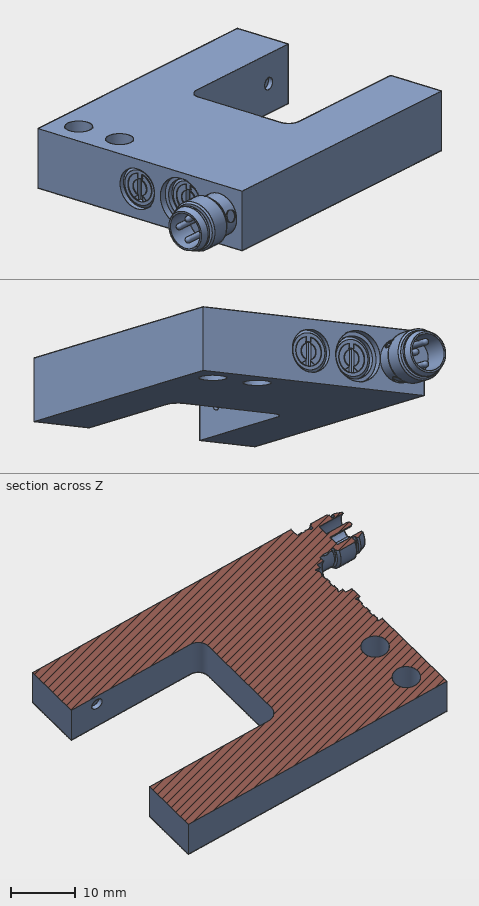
import cadquery as cq
import math

overall_length = 58.5
body_width = 40.0
body_height = 10.0
body_length = 50.0
slot_width = body_width / 2
slot_depth = body_length / 2
slot_corner_radius = 2.0
half_width = body_width / 2

mount_hole_diameter = 4.3
mount_hole_inset = 4.5
mount_hole_spacing = 8.0

window_diameter = 2.0
window_depth = 0.8
window_inset = 5.0

left_adjuster_x = -0.5
right_adjuster_x = 8.0
counterbore_diameter = 8.0
counterbore_depth = 1.2
well_diameter = 6.7
knob_face_diameter = 5.8
knob_face_depth = 0.6
knob_bevel_height = 0.3
well_depth = 2.0
dish_diameter = 4.6
dish_depth = 0.2
hub_diameter = 2.65
driver_slot_width = 0.8
driver_slot_depth = 0.8
driver_slot_top = 1.5
notch_depth = 0.25
notch_top = -1.1
notch_half_angle = 55.0

connector_x = 15.5
connector_length = overall_length - body_length
neck_diameter = 6.9
groove_diameter = 6.4
collar_diameter = 8.1
lip_diameter = 7.2
neck_end = 2.4
collar_start = 2.8
collar_end = 6.5
collar_lead_in = 0.4
collar_chamfer = 0.3
lip_start = 6.95
lip_end = 7.4
bore_diameter = 5.8
bore_depth = 4.7
pin_diameter = 1.0
pin_circle_radius = 1.75
pin_recess = 0.3
pin_tip_radius = 0.45
pin_angles = (90, 180, 270)
dimple_diameter = 2.0
dimple_floor_radius = 3.2
dimple_distance = 1.15
dimple_angles = (15, 135, 255)


def front_plane(x, depth):
    """Sketch plane facing -Y, at the given depth behind the front face."""
    return cq.Workplane("XZ", origin=(x, depth, 0))


def front_cylinder(x, diameter, depth, length):
    """Cylinder that starts at the given depth and runs inward along +Y."""
    return front_plane(x, depth).circle(diameter / 2).extrude(-length)


def make_body():
    body = cq.Workplane("XY").box(body_width, body_length, body_height, centered=(True, False, True))
    slot = (
        cq.Workplane("XY", origin=(0, body_length - slot_depth, 0))
        .box(slot_width, slot_depth, body_height, centered=(True, False, True))
        .edges("|Z and <Y")
        .fillet(slot_corner_radius)
    )
    first_hole_x = mount_hole_inset - half_width
    mount_holes = (
        cq.Workplane("XY", origin=(0, 0, -body_height / 2))
        .pushPoints([(first_hole_x + i * mount_hole_spacing, mount_hole_inset) for i in range(2)])
        .circle(mount_hole_diameter / 2)
        .extrude(body_height)
    )
    windows = (
        cq.Workplane("YZ", origin=(0, body_length - window_inset, 0))
        .circle(window_diameter / 2)
        .extrude(slot_width / 2 + window_depth, both=True)
    )
    return body.cut(slot).cut(mount_holes).cut(windows)


def make_knob(x, seat_depth):
    """Bevelled knob with a dished face, a raised hub and pointer, and a slot flared at its tail."""
    face_depth = seat_depth + knob_face_depth
    bevel_width = (well_diameter - knob_face_diameter) / 2
    knob = front_cylinder(x, well_diameter, face_depth, well_depth - knob_face_depth)
    knob = knob.faces("<Y").chamfer(knob_bevel_height, bevel_width)
    dish = front_cylinder(x, dish_diameter, face_depth, dish_depth)
    hub = front_cylinder(x, hub_diameter, face_depth, dish_depth)

    dish_radius = dish_diameter / 2
    pointer = (
        front_plane(x, face_depth)
        .center(0, dish_radius / 2)
        .rect(driver_slot_width, dish_radius)
        .extrude(-dish_depth)
    )
    dish = dish.cut(hub).cut(pointer)

    slot_length = driver_slot_top + dish_radius
    driver_slot = (
        front_plane(x, face_depth)
        .center(0, driver_slot_top - slot_length / 2)
        .rect(driver_slot_width, slot_length)
        .extrude(-driver_slot_depth)
    )
    notch_half_width = (dish_radius + notch_top) * math.tan(math.radians(notch_half_angle))
    notch = (
        front_plane(x, face_depth)
        .moveTo(0, notch_top)
        .lineTo(-notch_half_width, -dish_radius)
        .lineTo(notch_half_width, -dish_radius)
        .close()
        .extrude(-notch_depth)
    )
    disc = front_cylinder(x, dish_diameter, face_depth, driver_slot_depth)
    recess = driver_slot.union(notch).intersect(disc)
    return knob.cut(dish).cut(recess)


def add_adjuster(body, x, seat_depth):
    """Open a well down from the front face and seat a knob in it."""
    well = front_cylinder(x, well_diameter, 0, seat_depth + well_depth)
    if seat_depth > 0:
        well = well.union(front_cylinder(x, counterbore_diameter, 0, seat_depth))
    return body.cut(well).union(make_knob(x, seat_depth))


def make_connector():
    neck_radius = neck_diameter / 2
    groove_radius = groove_diameter / 2
    collar_radius = collar_diameter / 2
    lip_radius = lip_diameter / 2
    profile = [
        (0, 0),
        (neck_radius, 0),
        (neck_radius, -neck_end),
        (groove_radius, -neck_end),
        (groove_radius, -collar_start),
        (collar_radius - collar_lead_in, -collar_start),
        (collar_radius, -collar_start - collar_lead_in),
        (collar_radius, -collar_end + collar_chamfer),
        (collar_radius - collar_chamfer, -collar_end),
        (groove_radius, -collar_end),
        (groove_radius, -lip_start),
        (lip_radius, -lip_start),
        (lip_radius, -lip_end),
        (groove_radius, -connector_length),
        (0, -connector_length),
    ]
    shell = cq.Workplane("XY").polyline(profile).close().revolve(360, (0, 0, 0), (0, 1, 0))
    shell = shell.cut(front_cylinder(0, bore_diameter, -connector_length, bore_depth))

    for angle in pin_angles:
        pin_x = pin_circle_radius * math.cos(math.radians(angle))
        pin_z = pin_circle_radius * math.sin(math.radians(angle))
        pin = (
            front_cylinder(0, pin_diameter, pin_recess - connector_length, bore_depth)
            .faces("<Y")
            .edges()
            .fillet(pin_tip_radius)
            .translate((pin_x, 0, pin_z))
        )
        shell = shell.union(pin)

    for angle in dimple_angles:
        dimple = (
            cq.Workplane("YZ", origin=(dimple_floor_radius, -dimple_distance, 0))
            .circle(dimple_diameter / 2)
            .extrude(neck_radius)
            .rotate((0, 0, 0), (0, 1, 0), -angle)
        )
        shell = shell.cut(dimple)
    return shell.translate((connector_x, 0, 0))


result = make_body()
result = add_adjuster(result, left_adjuster_x, 0)
result = add_adjuster(result, right_adjuster_x, counterbore_depth)
result = result.union(make_connector())